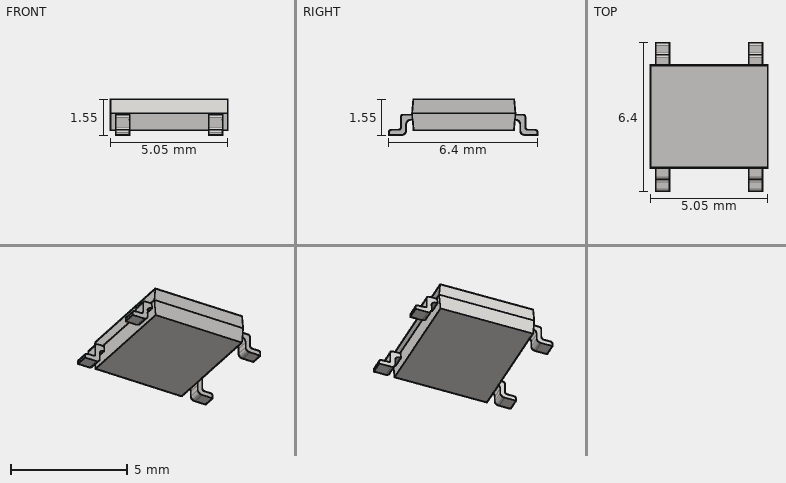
import cadquery as cq
import math

BODY_WIDTH = 5.05
BODY_DEPTH = 4.455
BODY_OFFSET = 0.025
STANDOFF = 0.2
LOWER_HEIGHT = 0.75
UPPER_HEIGHT = 0.6
DRAFT_ANGLE = 5.0

LEAD_SPAN = 6.4
LEAD_PITCH = 4.0
LEAD_WIDTH = 0.6
LEAD_THICKNESS = 0.23
LEAD_TOP = 0.88
RISER_OUTER = 2.68
SMALL_BEND = 0.11
LARGE_BEND = 0.2

PARTING_HEIGHT = STANDOFF + LOWER_HEIGHT
BODY_TOP = PARTING_HEIGHT + UPPER_HEIGHT
DRAFT_SLOPE = math.tan(math.radians(DRAFT_ANGLE))
TOE = LEAD_SPAN / 2
RISER_INNER = RISER_OUTER - LEAD_THICKNESS
SHOULDER_UNDERSIDE = LEAD_TOP - LEAD_THICKNESS


def half_depth(height):
    """Half of the body depth at a given height; it is greatest at the parting plane."""
    return BODY_DEPTH / 2 - abs(height - PARTING_HEIGHT) * DRAFT_SLOPE


def make_shell(outer_height):
    """Shell between the parting plane and its flat outer face at outer_height."""
    parting_half = half_depth(PARTING_HEIGHT)
    outer_half = half_depth(outer_height)
    section = [
        (BODY_OFFSET - parting_half, PARTING_HEIGHT),
        (BODY_OFFSET + parting_half, PARTING_HEIGHT),
        (BODY_OFFSET + outer_half, outer_height),
        (BODY_OFFSET - outer_half, outer_height),
    ]
    return cq.Workplane("YZ").polyline(section).close().extrude(BODY_WIDTH / 2, both=True)


def bend_edge(solid, distance, height, radius):
    """Round the edge along X at the given distance from the centre plane and height."""
    corner = cq.selectors.NearestToPointSelector((0, distance, height))
    return solid.edges("|X").edges(corner).fillet(radius)


def make_lead(x, side):
    """Gull-wing lead at x; side is +1 for the +Y face and -1 for the -Y face.

    The shoulder ends flush against the drafted face of the lower shell.
    """
    root_shift = side * BODY_OFFSET
    outline = [
        (root_shift + half_depth(LEAD_TOP), LEAD_TOP),
        (RISER_OUTER, LEAD_TOP),
        (RISER_OUTER, LEAD_THICKNESS),
        (TOE, LEAD_THICKNESS),
        (TOE, 0),
        (RISER_INNER, 0),
        (RISER_INNER, SHOULDER_UNDERSIDE),
        (root_shift + half_depth(SHOULDER_UNDERSIDE), SHOULDER_UNDERSIDE),
    ]
    lead = cq.Workplane("YZ").polyline(outline).close().extrude(LEAD_WIDTH / 2, both=True)
    lead = bend_edge(lead, RISER_OUTER, LEAD_TOP, SMALL_BEND)
    lead = bend_edge(lead, RISER_OUTER, LEAD_THICKNESS, SMALL_BEND)
    lead = bend_edge(lead, TOE, LEAD_THICKNESS, SMALL_BEND)
    lead = bend_edge(lead, RISER_INNER, 0, LARGE_BEND)
    lead = bend_edge(lead, RISER_INNER, SHOULDER_UNDERSIDE, LARGE_BEND)
    if side < 0:
        lead = lead.mirror("XZ")
    return lead.translate((x, 0, 0))


lower_shell = make_shell(STANDOFF)
upper_shell = make_shell(BODY_TOP)
leads = [
    make_lead(x, side)
    for x in (-LEAD_PITCH / 2, LEAD_PITCH / 2)
    for side in (-1, 1)
]

result = cq.Compound.makeCompound(
    [lower_shell.val(), upper_shell.val(), *[lead.val() for lead in leads]]
)